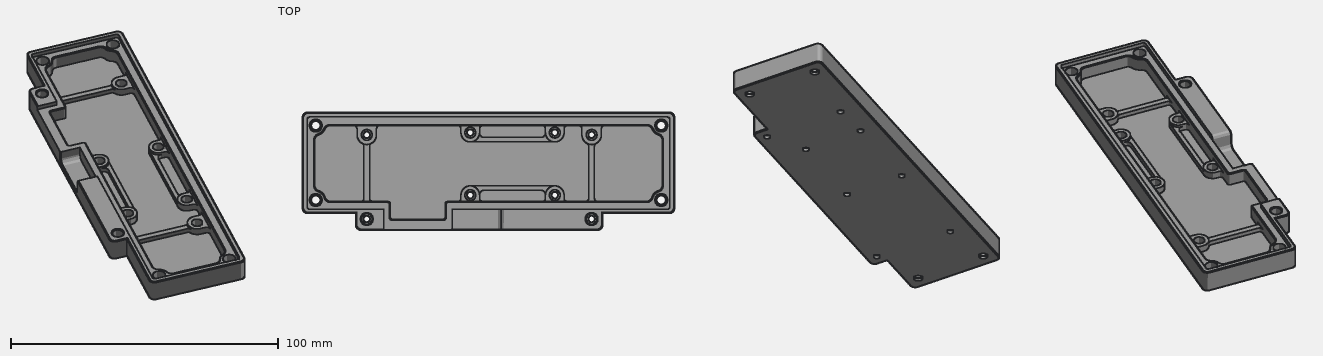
import cadquery as cq
LENGTH = 139.0
TOTAL_WIDTH = 44.0
HEIGHT = 9.0
TAB_REACH = 6.3
BODY_WIDTH = TOTAL_WIDTH - TAB_REACH
TAB_LEFT = -49.6
TAB_RIGHT = 42.7
CORNER_RADIUS = 2.1
EDGE_CHAMFER = 0.35

RECESS_WALL = 1.8
RECESS_FRONT_WALL = 1.5
RECESS_CORNER = 1.0
RECESS_DEPTH = 1.7
RECESS_Z = HEIGHT - RECESS_DEPTH
FLOOR_Z = 2.1
CAVITY_LENGTH = 129.8
CAVITY_WIDTH = 28.4
CAVITY_CENTRE_Y = -0.3
CAVITY_FILLET = 2.2
CAVITY_RIM_CHAMFER = 0.35

BORE_FLOOR_Z = 1.4

CORNER_HOLE_INSET = 5.0
CORNER_COLUMN_RADIUS = 3.6
CORNER_HOLE_DIAMETER = 3.3
CORNER_BORE_DIAMETER = 4.7
CORNER_SEAT_CHAMFER = 0.35

BAY_CENTRE_X = -26.4
BAY_LENGTH = 20.6
BAY_FRONT_Y = -21.1
BAY_FILLET = 0.8
CHANNEL_LENGTH = 25.6

POCKET_RIGHT = 4.7
POCKET_FILLET = 2.0
POCKET_LIP_RADIUS = 1.7
POCKET_EDGE_CHAMFER = 0.4

SIDE_BOSS_RADIUS = 3.6
MID_BOSS_RADIUS = 3.5
BOSS_HEIGHT = 2.8
FOOT_FILLET = 1.3
SIDE_BOSS_Y = 10.4
MID_BOSS_X = (-6.8, 24.7)
MID_BOSS_BACK_Y = 11.3
MID_BOSS_FRONT_Y = -12.1
RIB_WIDTH = 2.1
RIB_HEIGHT = 1.8
RAIL_WIDTH = 1.7
RAIL_HEIGHT = 1.8
SLOT_FILLET = 1.7

PILOT_DIAMETER = 2.4
BORE_DIAMETER = 4.0
TAB_HOLE_INSET = 4.2
TAB_RIM_CHAMFER = 0.35

MARGIN = 1.4

body_front = -BODY_WIDTH / 2
tab_front = body_front - TAB_REACH
recess_front = body_front + RECESS_FRONT_WALL
recess_back = BODY_WIDTH / 2 - RECESS_WALL
cavity_back = CAVITY_CENTRE_Y + CAVITY_WIDTH / 2
cavity_front = CAVITY_CENTRE_Y - CAVITY_WIDTH / 2
tab_hole_x = (TAB_LEFT + TAB_HOLE_INSET, TAB_RIGHT - TAB_HOLE_INSET)
corner_holes = [
    (sx * (LENGTH / 2 - CORNER_HOLE_INSET), sy * (BODY_WIDTH / 2 - CORNER_HOLE_INSET))
    for sx in (-1, 1)
    for sy in (-1, 1)
]


def block(x0, x1, y0, y1, z0, z1):
    """Box between two opposite corners; x and y limits may come in either order."""
    centre = ((x0 + x1) / 2, (y0 + y1) / 2, (z0 + z1) / 2)
    return cq.Workplane("XY").box(abs(x1 - x0), abs(y1 - y0), z1 - z0).translate(centre)


def cylinder(x, y, diameter, z0, z1):
    """Upright cylinder from z0 to z1."""
    return cq.Workplane("XY", origin=(x, y, z0)).circle(diameter / 2).extrude(z1 - z0)


def outer_body():
    """Main block with the tab on its front, edges broken at top and bottom."""
    main = block(-LENGTH / 2, LENGTH / 2, body_front, -body_front, 0, HEIGHT)
    main = main.edges("|Z").fillet(CORNER_RADIUS)
    tab = block(TAB_LEFT, TAB_RIGHT, tab_front, 0, 0, HEIGHT)
    tab = tab.edges("|Z and <Y").fillet(CORNER_RADIUS)
    return main.union(tab).faces("<Z or >Z").chamfer(EDGE_CHAMFER)


def recess():
    """Shallow lid recess over the main body plus the channel through the tab."""
    half_length = LENGTH / 2 - RECESS_WALL
    lid = block(-half_length, half_length, recess_front, recess_back, RECESS_Z, HEIGHT)
    lid = lid.edges("|Z").fillet(RECESS_CORNER)
    channel_left = BAY_CENTRE_X - CHANNEL_LENGTH / 2
    return lid.union(block(channel_left, POCKET_RIGHT, tab_front, 0, RECESS_Z, HEIGHT))


def cavity():
    """Deep cavity that leaves a round column at each corner, with the bay at its front."""
    rim_z = RECESS_Z - CAVITY_RIM_CHAMFER
    room = block(-CAVITY_LENGTH / 2, CAVITY_LENGTH / 2, cavity_front, cavity_back, FLOOR_Z, rim_z)
    for x, y in corner_holes:
        room = room.cut(cylinder(x, y, 2 * CORNER_COLUMN_RADIUS, FLOOR_Z, rim_z))
    room = room.edges("|Z").fillet(CAVITY_FILLET)
    bay_left = BAY_CENTRE_X - BAY_LENGTH / 2
    bay_right = BAY_CENTRE_X + BAY_LENGTH / 2
    bay = block(bay_left, bay_right, BAY_FRONT_Y, 0, FLOOR_Z, rim_z)
    bay = bay.edges("|Z and <Y").fillet(BAY_FILLET)
    mouth = cq.selectors.BoxSelector(
        (bay_left - MARGIN, cavity_front - MARGIN, 0),
        (bay_right + MARGIN, cavity_front + MARGIN, HEIGHT),
    )
    room = room.union(bay).edges("|Z").edges(mouth).fillet(BAY_FILLET)
    rim = room.faces(">Z").wires().toPending().extrude(CAVITY_RIM_CHAMFER, taper=-45, combine=False)
    return room.union(rim)


def tab_pocket():
    """Pocket open to the front of the tab, with rounded floor corners, a rounded lip and a chamfered mouth."""
    left = BAY_CENTRE_X + CHANNEL_LENGTH / 2
    above = HEIGHT + MARGIN
    corner = POCKET_FILLET
    lip = POCKET_LIP_RADIUS
    profile = (
        cq.Workplane("XZ", origin=(0, recess_front, 0))
        .moveTo(left, above)
        .lineTo(left, FLOOR_Z + corner)
        .radiusArc((left + corner, FLOOR_Z), -corner)
        .lineTo(POCKET_RIGHT - corner, FLOOR_Z)
        .radiusArc((POCKET_RIGHT, FLOOR_Z + corner), -corner)
        .lineTo(POCKET_RIGHT, HEIGHT - lip)
        .radiusArc((POCKET_RIGHT + lip, HEIGHT), lip)
        .lineTo(POCKET_RIGHT + lip, above)
        .close()
    )
    pocket = profile.extrude(recess_front - tab_front - POCKET_EDGE_CHAMFER)
    mouth = pocket.faces("<Y").wires().toPending().extrude(POCKET_EDGE_CHAMFER, taper=-45, combine=False)
    return pocket.union(mouth)


def wall_foot(x, half_width, wall_y, end_y, height):
    """Upright web from a cavity wall to end_y, flared by a fillet where it meets the wall."""
    inward = 1 if end_y > wall_y else -1
    flare_y = wall_y + inward * FOOT_FILLET
    outer = half_width + FOOT_FILLET
    top_z = FLOOR_Z + height
    web = block(x - outer, x + outer, wall_y, end_y, FLOOR_Z, top_z)
    for side in (-1, 1):
        beside = x + side * outer
        web = web.cut(block(beside, x + side * half_width, flare_y, end_y, FLOOR_Z, top_z))
        web = web.cut(cylinder(beside, flare_y, 2 * FOOT_FILLET, FLOOR_Z, top_z))
    return web


def wall_boss(x, y, radius, wall_y, height=BOSS_HEIGHT):
    """Round-ended boss that stands against a cavity wall."""
    web = wall_foot(x, radius, wall_y, y, height)
    return web.union(cylinder(x, y, 2 * radius, FLOOR_Z, FLOOR_Z + height))


def ribbed_boss(x):
    """Boss on the back wall with a low rib running from it to the front wall."""
    base = wall_boss(x, SIDE_BOSS_Y, SIDE_BOSS_RADIUS, cavity_back, RIB_HEIGHT)
    base = base.union(wall_foot(x, RIB_WIDTH / 2, cavity_front, SIDE_BOSS_Y, RIB_HEIGHT))
    boss_end = SIDE_BOSS_Y - SIDE_BOSS_RADIUS
    junction = cq.selectors.BoxSelector(
        (x - RIB_WIDTH, boss_end - MARGIN, 0),
        (x + RIB_WIDTH, boss_end + MARGIN, HEIGHT),
    )
    base = base.edges("|Z").edges(junction).fillet(FOOT_FILLET)
    return base.union(wall_boss(x, SIDE_BOSS_Y, SIDE_BOSS_RADIUS, cavity_back))


def rail(y, wall_y):
    """Low rail joining two middle bosses, with rounded inner corners."""
    inward = 1 if y > wall_y else -1
    face_y = y + inward * MID_BOSS_RADIUS
    slot_y = face_y - inward * RAIL_WIDTH
    top_z = FLOOR_Z + RAIL_HEIGHT
    left, right = MID_BOSS_X
    bar = block(left, right, wall_y, face_y, FLOOR_Z, top_z)
    slot = block(left + MID_BOSS_RADIUS, right - MID_BOSS_RADIUS, wall_y, slot_y, FLOOR_Z, top_z)
    slot = slot.edges("|Z").edges(">Y" if inward > 0 else "<Y").fillet(SLOT_FILLET)
    return bar.cut(slot)


def pilot_hole(x, y, top_z):
    """Pilot hole right through, with a wider bore sunk from top_z."""
    hole = cylinder(x, y, PILOT_DIAMETER, 0, top_z)
    return hole.union(cylinder(x, y, BORE_DIAMETER, BORE_FLOOR_Z, top_z))


def boss_hole(x, y):
    """Screw hole through one of the internal bosses."""
    return pilot_hole(x, y, FLOOR_Z + BOSS_HEIGHT)


def tab_hole(x):
    """Screw hole through the tab with a chamfered rim."""
    y = tab_front + TAB_HOLE_INSET
    rim = (
        cq.Workplane("XY", origin=(x, y, HEIGHT - TAB_RIM_CHAMFER))
        .circle(BORE_DIAMETER / 2)
        .extrude(TAB_RIM_CHAMFER, taper=-45)
    )
    return pilot_hole(x, y, HEIGHT).union(rim)


def corner_hole(x, y):
    """Screw hole through a corner column, with a bevel around the seat of its bore."""
    hole = cylinder(x, y, CORNER_HOLE_DIAMETER, 0, RECESS_Z)
    bore = cylinder(x, y, CORNER_BORE_DIAMETER, BORE_FLOOR_Z, RECESS_Z)
    return hole.union(bore.faces("<Z").edges().chamfer(CORNER_SEAT_CHAMFER))


result = outer_body().cut(recess()).cut(cavity()).cut(tab_pocket())

for x in tab_hole_x:
    result = result.union(ribbed_boss(x))
for y, wall_y in ((MID_BOSS_BACK_Y, cavity_back), (MID_BOSS_FRONT_Y, cavity_front)):
    result = result.union(rail(y, wall_y))
    for x in MID_BOSS_X:
        result = result.union(wall_boss(x, y, MID_BOSS_RADIUS, wall_y))

for x in MID_BOSS_X:
    for y in (MID_BOSS_BACK_Y, MID_BOSS_FRONT_Y):
        result = result.cut(boss_hole(x, y))
for x in tab_hole_x:
    result = result.cut(boss_hole(x, SIDE_BOSS_Y)).cut(tab_hole(x))
for x, y in corner_holes:
    result = result.cut(corner_hole(x, y))